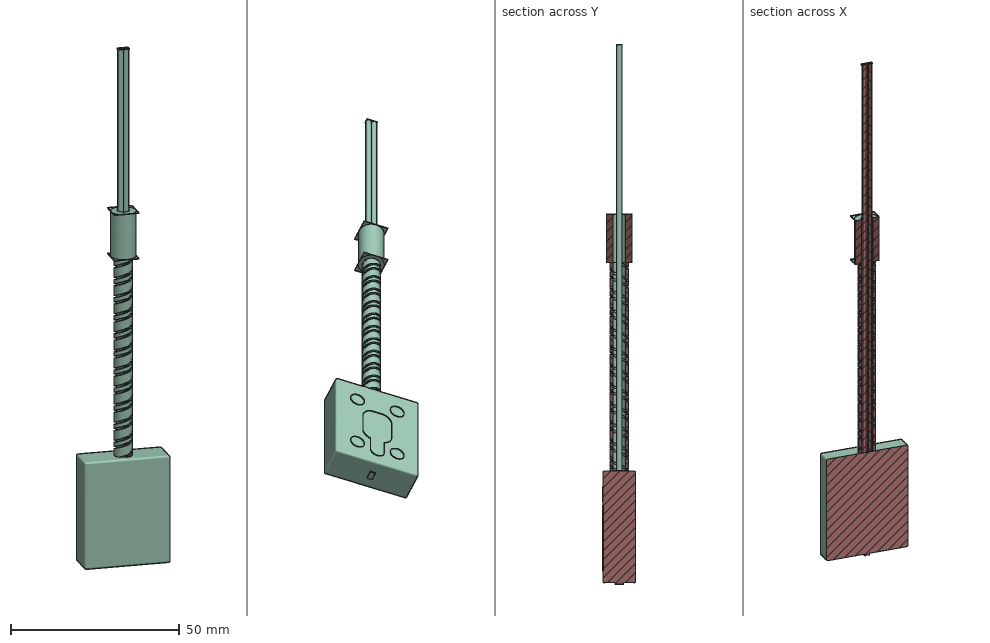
import cadquery as cq

HOUSING_X = 9.91
HOUSING_Y = 26.42
HOUSING_Z = 33.3
EDGE_RADIUS = 0.6

FOOT_X = 2.6
FOOT_Y = 1.6
FOOT_Z = 0.45

RECESS_DEPTH = 0.2
ROUND_RECESS_DIAMETER = 4.4
ROUND_RECESS_SPACING_Y = 12.7
ROUND_RECESS_SPACING_Z = 19.1
KEYHOLE_WIDTH = 9.2
KEYHOLE_HEIGHT = 12.7
KEYHOLE_CORNER_RADIUS = 3.3
KEYHOLE_SLOT_WIDTH = 4.4
KEYHOLE_BOTTOM_Z = 3.6

OVERALL_HEIGHT = 160.31
WIRE_DIAMETER = 1.7
CORE_DIAMETER = 0.8
WIRE_COUNT = 2
WIRE_FREE_LENGTH = 50.4
WIRE_BORE = 3.7
WIRE_TOP = OVERALL_HEIGHT - FOOT_Z

SLEEVE_DIAMETER = 7.62
SLEEVE_LENGTH = 14.4
SLEEVE_TOP = WIRE_TOP - WIRE_FREE_LENGTH
SLEEVE_BOTTOM = SLEEVE_TOP - SLEEVE_LENGTH
PLATE_THICKNESS = 0.2

HOSE_DIAMETER = 5.5
HOSE_LENGTH = SLEEVE_BOTTOM - HOUSING_Z
GROOVE_PITCH = 5.63
GROOVE_DEPTH = 0.6
GROOVE_WIDTH = 0.65
UPPER_GROOVE_DROP = 2.4
GROOVE_SPACING = 1.95
GROOVE_DROPS = (UPPER_GROOVE_DROP, UPPER_GROOVE_DROP + GROOVE_SPACING)


def recess_outline():
    """Sketch plane on the -X face, local x along Y and local y along Z."""
    return cq.Workplane("YZ", origin=(-HOUSING_X / 2, 0, HOUSING_Z / 2))


def make_round_recesses():
    return (
        recess_outline()
        .rarray(ROUND_RECESS_SPACING_Y, ROUND_RECESS_SPACING_Z, 2, 2)
        .circle(ROUND_RECESS_DIAMETER / 2)
        .extrude(RECESS_DEPTH)
    )


def make_keyhole():
    pocket = (
        recess_outline()
        .rect(KEYHOLE_WIDTH, KEYHOLE_HEIGHT)
        .extrude(RECESS_DEPTH)
        .edges("|X")
        .fillet(KEYHOLE_CORNER_RADIUS)
    )
    slot_length = HOUSING_Z / 2 - KEYHOLE_BOTTOM_Z
    slot = (
        recess_outline()
        .center(0, -slot_length / 2)
        .slot2D(slot_length, KEYHOLE_SLOT_WIDTH, 90)
        .extrude(RECESS_DEPTH)
    )
    return pocket.union(slot)


def make_housing():
    block = cq.Workplane("XY").box(HOUSING_X, HOUSING_Y, HOUSING_Z, centered=(True, True, False))
    block = block.edges().fillet(EDGE_RADIUS)
    foot = cq.Workplane("XY").rect(FOOT_X, FOOT_Y).extrude(-FOOT_Z)
    return block.union(foot).cut(make_round_recesses()).cut(make_keyhole())


def make_groove_turn(start_z):
    """One full turn of a helical cutter, starting from the -X side at height start_z."""
    helix = cq.Wire.makeHelix(GROOVE_PITCH, GROOVE_PITCH, HOSE_DIAMETER / 2)
    cutter = (
        cq.Workplane("XZ")
        .center(HOSE_DIAMETER / 2, 0)
        .rect(2 * GROOVE_DEPTH, GROOVE_WIDTH)
        .sweep(cq.Workplane(helix), isFrenet=True)
    )
    return cutter.rotate((0, 0, 0), (0, 0, 1), 180).translate((0, 0, start_z))


def make_hose():
    hose = (
        cq.Workplane("XY", origin=(0, 0, HOUSING_Z))
        .circle(HOSE_DIAMETER / 2)
        .circle(WIRE_BORE / 2)
        .extrude(HOSE_LENGTH)
    )
    full_turns = int(HOSE_LENGTH / GROOVE_PITCH)
    for drop in GROOVE_DROPS:
        for turn in range(-1, full_turns + 2):
            start_z = SLEEVE_BOTTOM - drop - turn * GROOVE_PITCH
            hose = hose.cut(make_groove_turn(start_z))
    return hose


def make_sleeve():
    base = cq.Workplane("XY", origin=(0, 0, SLEEVE_BOTTOM))
    sleeve = base.circle(SLEEVE_DIAMETER / 2).extrude(SLEEVE_LENGTH)
    for plate_z in (SLEEVE_BOTTOM, SLEEVE_TOP - PLATE_THICKNESS):
        plate = (
            cq.Workplane("XY", origin=(0, 0, plate_z))
            .rect(SLEEVE_DIAMETER, SLEEVE_DIAMETER)
            .extrude(PLATE_THICKNESS)
        )
        sleeve = sleeve.union(plate)
    bore = base.circle(WIRE_BORE / 2).extrude(SLEEVE_LENGTH)
    return sleeve.cut(bore)


def make_wire_core(center_y):
    return (
        cq.Workplane("XY", origin=(0, center_y, HOUSING_Z))
        .circle(CORE_DIAMETER / 2)
        .extrude(WIRE_TOP - HOUSING_Z)
    )


def make_wire_jacket(center_y):
    jacket = (
        cq.Workplane("XY", origin=(0, center_y, HOUSING_Z))
        .circle(WIRE_DIAMETER / 2)
        .extrude(WIRE_TOP - HOUSING_Z)
    )
    tip = (
        cq.Workplane("XY", origin=(0, center_y, WIRE_TOP - PLATE_THICKNESS))
        .rect(WIRE_DIAMETER, WIRE_DIAMETER)
        .extrude(PLATE_THICKNESS)
    )
    return jacket.union(tip).cut(make_wire_core(center_y))


housing = make_housing()
hose = make_hose()
sleeve = make_sleeve()
jackets = []
cores = []
for index in range(WIRE_COUNT):
    wire_y = (index - (WIRE_COUNT - 1) / 2) * WIRE_DIAMETER
    jackets.append(make_wire_jacket(wire_y).val())
    cores.append(make_wire_core(wire_y).val())

result = cq.Compound.makeCompound([housing.val(), hose.val(), sleeve.val(), *jackets, *cores])